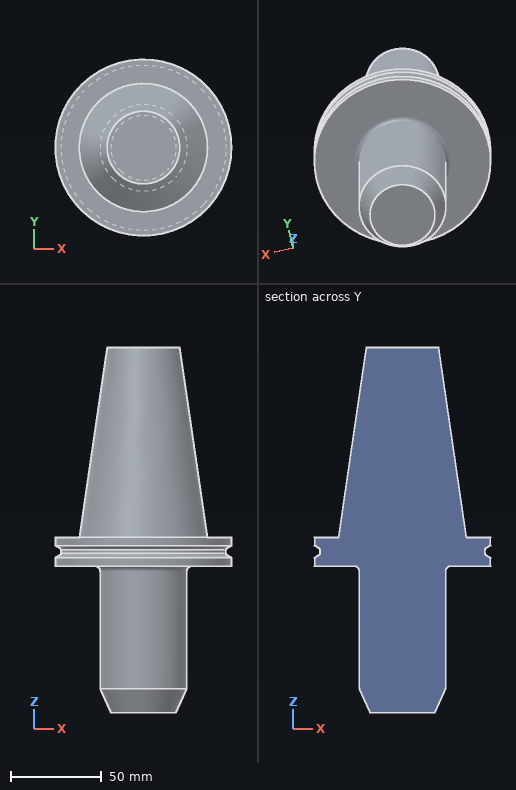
import cadquery as cq

total_height = 201.8
flange_top = 96.8
flange_thickness = 16.0
flange_bottom = flange_top - flange_thickness
tip_height = 13.3

flange_diameter = 97.5
groove_diameter = 91.2
taper_top_diameter = 40.1
taper_base_diameter = 70.8
shank_diameter = 48.0
tip_diameter = 36.0

groove_center = 89.0
groove_floor_width = 3.0
groove_opening_width = 6.7
groove_corner_radius = 1.0

shank_fillet_radius = 2.8


def cone(bottom_diameter, top_diameter, bottom, top):
    """Solid of revolution about Z with straight sides between two heights."""
    profile = [
        (0, bottom),
        (bottom_diameter / 2, bottom),
        (top_diameter / 2, top),
        (0, top),
    ]
    return cq.Workplane("XZ").polyline(profile).close().revolve(360, (0, 0), (0, 1))


def flange():
    """Disc with a trapezoidal groove around its rim, rounded at the floor corners."""
    rim = flange_diameter / 2
    floor = groove_diameter / 2
    profile = [
        (0, flange_bottom),
        (rim, flange_bottom),
        (rim, groove_center - groove_opening_width / 2),
        (floor, groove_center - groove_floor_width / 2),
        (floor, groove_center + groove_floor_width / 2),
        (rim, groove_center + groove_opening_width / 2),
        (rim, flange_top),
        (0, flange_top),
    ]
    disc = cq.Workplane("XZ").polyline(profile).close().revolve(360, (0, 0), (0, 1))
    floor_edges = cq.selectors.RadiusNthSelector(0)
    return disc.edges(floor_edges).fillet(groove_corner_radius)


def shank():
    """Straight shank that flares into the flange through a concave fillet."""
    radius = shank_diameter / 2
    fillet_start = flange_bottom - shank_fillet_radius
    arc_offset = shank_fillet_radius * (1 - 0.5**0.5)
    return (
        cq.Workplane("XZ")
        .moveTo(0, tip_height)
        .lineTo(radius, tip_height)
        .lineTo(radius, fillet_start)
        .threePointArc(
            (radius + arc_offset, flange_bottom - arc_offset),
            (radius + shank_fillet_radius, flange_bottom),
        )
        .lineTo(0, flange_bottom)
        .close()
        .revolve(360, (0, 0), (0, 1))
    )


tip = cone(tip_diameter, shank_diameter, 0, tip_height)
taper = cone(taper_base_diameter, taper_top_diameter, flange_top, total_height)

result = tip.union(shank()).union(flange()).union(taper)